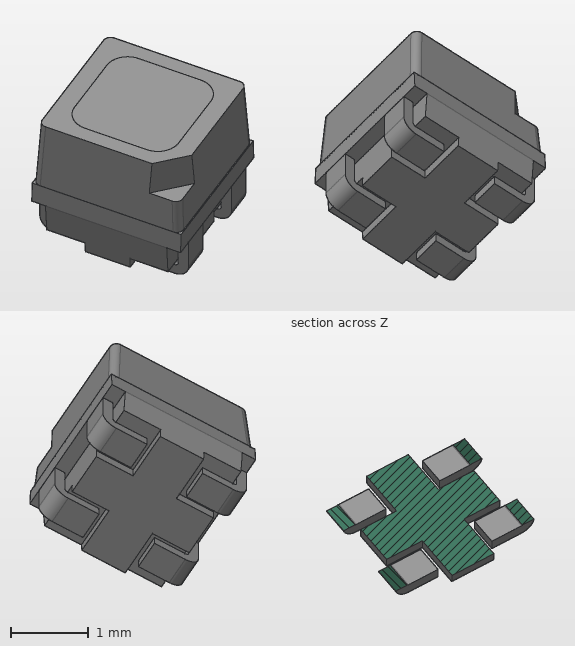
import cadquery as cq
import math


STANDOFF = 0.02
BASE_HEIGHT = 0.6
FLANGE_HEIGHT = 0.3
CAP_HEIGHT = 1.0
FLANGE_BOTTOM = STANDOFF + BASE_HEIGHT
FLANGE_TOP = FLANGE_BOTTOM + FLANGE_HEIGHT
CAP_TOP = FLANGE_TOP + CAP_HEIGHT

FLANGE_LENGTH = 2.15
FLANGE_WIDTH = 2.05
DRAFT_ANGLE = 3.0
FLANGE_TOP_WIDTH = FLANGE_WIDTH - 2 * FLANGE_HEIGHT * math.tan(math.radians(DRAFT_ANGLE))

BASE_LENGTH = 1.75
BASE_BOTTOM_WIDTH = 1.955
NOTCH_HEIGHT = 0.16
RIB_LENGTH_X = 0.65
RIB_WIDTH_Y = 0.6

CAP_LENGTH = 2.12
CAP_WIDTH = 2.02
CAP_CORNER_RADIUS = 0.1
MARKER_DEPTH = 0.499
MARKER_OFFSET = 1.587

LENS_SIDE = 1.5
LENS_CORNER_RADIUS = 0.3
LENS_DEPTH = CAP_HEIGHT / 2

LEAD_THICKNESS = 0.15
LEAD_WIDTH = 0.4
LEAD_PITCH = 1.2
LEAD_FOOT_LENGTH = 0.66
LEAD_INNER_RADIUS = 0.05
LEAD_OUTER_RADIUS = LEAD_INNER_RADIUS + LEAD_THICKNESS


def drafted_block(length, bottom_width, top_width, bottom, height):
    """Block along X whose -Y and +Y faces lean, with upright end faces."""
    profile = [
        (-bottom_width / 2, bottom),
        (bottom_width / 2, bottom),
        (top_width / 2, bottom + height),
        (-top_width / 2, bottom + height),
    ]
    return cq.Workplane("YZ").polyline(profile).close().extrude(length / 2, both=True)


def make_base():
    """Block under the flange, notched at each lower corner to clear a lead foot."""
    base = drafted_block(BASE_LENGTH, BASE_BOTTOM_WIDTH, FLANGE_WIDTH, STANDOFF, BASE_HEIGHT)
    notch_length = (BASE_LENGTH - RIB_LENGTH_X) / 2
    notch_width = (FLANGE_WIDTH - RIB_WIDTH_Y) / 2
    notch_spacing_x = RIB_LENGTH_X + notch_length
    notch_spacing_y = RIB_WIDTH_Y + notch_width
    notches = (
        cq.Workplane("XY", origin=(0, 0, STANDOFF))
        .rarray(notch_spacing_x, notch_spacing_y, 2, 2)
        .rect(notch_length, notch_width)
        .extrude(NOTCH_HEIGHT)
    )
    return base.cut(notches)


def make_cap():
    """Tapered block with rounded corners and a stepped polarity marker at +X, -Y."""
    cap = (
        cq.Workplane("XY", origin=(0, 0, FLANGE_TOP))
        .rect(CAP_LENGTH, CAP_WIDTH)
        .extrude(CAP_HEIGHT, taper=DRAFT_ANGLE)
        .edges("not(#Z)")
        .fillet(CAP_CORNER_RADIUS)
    )
    marker = (
        cq.Workplane("XY", origin=(0, 0, CAP_TOP - MARKER_DEPTH))
        .moveTo(MARKER_OFFSET, 0)
        .lineTo(0, -MARKER_OFFSET)
        .lineTo(MARKER_OFFSET, -MARKER_OFFSET)
        .close()
        .extrude(MARKER_DEPTH)
    )
    return cap.cut(marker)


def make_lens():
    """Rounded square that fills the recess in the cap, flush with its top."""
    return (
        cq.Workplane("XY", origin=(0, 0, CAP_TOP - LENS_DEPTH))
        .rect(LENS_SIDE, LENS_SIDE)
        .extrude(LENS_DEPTH)
        .edges("|Z")
        .fillet(LENS_CORNER_RADIUS)
    )


def make_housing(lens):
    """Base, flange and cap in one piece, with a recess for the lens."""
    flange = drafted_block(FLANGE_LENGTH, FLANGE_WIDTH, FLANGE_TOP_WIDTH, FLANGE_BOTTOM, FLANGE_HEIGHT)
    return flange.union(make_base()).union(make_cap()).cut(lens)


def make_lead(center_y):
    """Lead at -X: a leg down from the flange, bent inward into a foot."""
    outer_x = -FLANGE_LENGTH / 2
    inner_x = outer_x + LEAD_THICKNESS
    bend_x = outer_x + LEAD_OUTER_RADIUS
    foot_end_x = outer_x + LEAD_FOOT_LENGTH
    outer_bend = (bend_x, 0)
    inner_bend = (inner_x, LEAD_OUTER_RADIUS)
    return (
        cq.Workplane("XZ", origin=(0, center_y, 0))
        .moveTo(outer_x, FLANGE_BOTTOM)
        .lineTo(outer_x, LEAD_OUTER_RADIUS)
        .radiusArc(outer_bend, -LEAD_OUTER_RADIUS)
        .lineTo(foot_end_x, 0)
        .lineTo(foot_end_x, LEAD_THICKNESS)
        .lineTo(bend_x, LEAD_THICKNESS)
        .radiusArc(inner_bend, LEAD_INNER_RADIUS)
        .lineTo(inner_x, FLANGE_BOTTOM)
        .close()
        .extrude(LEAD_WIDTH / 2, both=True)
    )


lens = make_lens()
housing = make_housing(lens)

leads = []
for center_y in (-LEAD_PITCH / 2, LEAD_PITCH / 2):
    lead = make_lead(center_y)
    leads.append(lead.val())
    leads.append(lead.mirror("YZ").val())

result = cq.Compound.makeCompound([housing.val(), lens.val(), *leads])